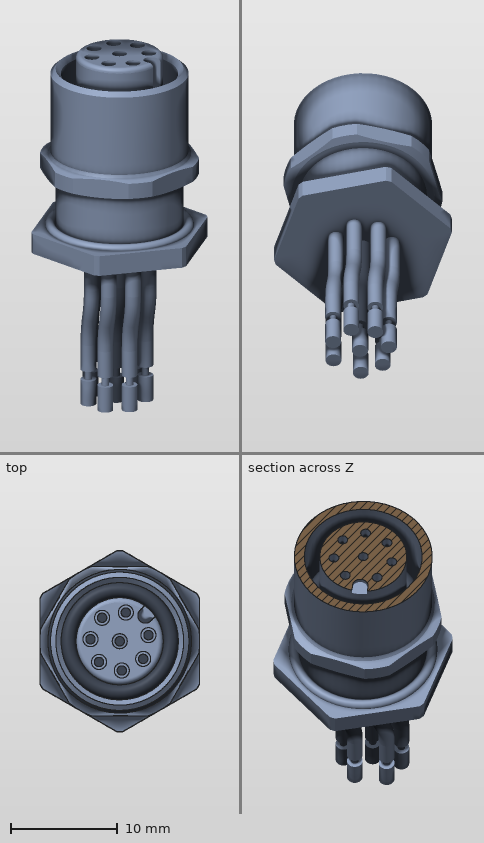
import cadquery as cq
import math

total_height = 35.3
flange_bottom = 16.13
flange_top = 18.1
nut_bottom = 23.3
nut_top = 25.3
collar_top = 25.6
sleeve_top = 33.78

flange_width = 15.0
flange_corner_diameter = 17.0
body_diameter = 12.0
flange_seal_radius = 0.5

nut_width = 14.0
nut_corner_diameter = flange_width
nut_face_diameter = 13.5
nut_chamfer_height = 0.25

sleeve_diameter = 13.0
bore_diameter = 11.0
sleeve_rim_diameter = 12.0
rim_chamfer_height = 0.42
bore_chamfer_height = 0.5
bore_floor = nut_top

insert_diameter = 8.2
insert_rounding = 0.45
key_width = 1.4
key_center_radius = 3.4
key_slot_depth = 3.0
key_angle = 45.0

contact_ring_radius = 2.75
ring_contact_count = 7
contact_pitch_angle = 49.0
contact_recess_diameter = 1.4
contact_recess_depth = 0.9
contact_bore_diameter = 0.9
contact_bore_depth = 4.25

wire_diameter = 1.5
core_diameter = 0.7
end_piece_top = 2.5
sheath_end = 3.45
bend_bottom = 6.07
bend_top = 12.0
bend_offset = 1.2


def cylinder(diameter, bottom, top):
    return cq.Workplane("XY").workplane(offset=bottom).circle(diameter / 2).extrude(top - bottom)


def revolved(profile):
    """Turn a closed (radius, height) profile about the Z axis."""
    return cq.Workplane("XZ").polyline(profile).close().revolve(360, (0, 0, 0), (0, 1, 0))


def hexagon(width, bottom, top, turn):
    """Hexagonal prism; with no turn two of its flats face +X and -X."""
    corner_to_corner = width / math.cos(math.radians(30))
    prism = cq.Workplane("XY").workplane(offset=bottom).polygon(6, corner_to_corner).extrude(top - bottom)
    return prism.rotate((0, 0, 0), (0, 0, 1), 30 + turn)


def seal_ring(center_radius, section_radius, height):
    return (
        cq.Workplane("XZ")
        .center(center_radius, height)
        .circle(section_radius)
        .revolve(360, (-center_radius, 0, 0), (-center_radius, 1, 0))
    )


def contact_points():
    first_angle = key_angle - (360 - (ring_contact_count - 1) * contact_pitch_angle) / 2
    points = [(0, 0)]
    for index in range(ring_contact_count):
        angle = math.radians(first_angle - index * contact_pitch_angle)
        points.append((contact_ring_radius * math.cos(angle), contact_ring_radius * math.sin(angle)))
    return points


def flange_and_body():
    flange = hexagon(flange_width, flange_bottom, flange_top, 0)
    flange = flange.intersect(cylinder(flange_corner_diameter, flange_bottom, flange_top))
    ring = seal_ring(body_diameter / 2 + flange_seal_radius, flange_seal_radius, flange_top)
    body = cylinder(body_diameter, flange_top, nut_bottom)
    return flange.union(body).union(ring)


def nut():
    corner_radius = nut_corner_diameter / 2
    face_radius = nut_face_diameter / 2
    chamfered_disc = revolved([
        (0, nut_bottom),
        (face_radius, nut_bottom),
        (corner_radius, nut_bottom + nut_chamfer_height),
        (corner_radius, nut_top - nut_chamfer_height),
        (face_radius, nut_top),
        (0, nut_top),
    ])
    return hexagon(nut_width, nut_bottom, nut_top, 30).intersect(chamfered_disc)


def sleeve():
    outer_radius = sleeve_diameter / 2
    rim_radius = sleeve_rim_diameter / 2
    bore_radius = bore_diameter / 2
    chamfer_bottom = sleeve_top - rim_chamfer_height
    shell = revolved([
        (bore_radius, bore_floor),
        (nut_face_diameter / 2, nut_top),
        (outer_radius, collar_top),
        (outer_radius, chamfer_bottom),
        (rim_radius, sleeve_top),
        (bore_radius, sleeve_top - bore_chamfer_height),
    ])
    ring_section_radius = (bore_diameter - insert_diameter) / 4
    ring_center_radius = (bore_diameter + insert_diameter) / 4
    return shell.union(seal_ring(ring_center_radius, ring_section_radius, bore_floor))


def insert():
    post = cylinder(insert_diameter, bore_floor, total_height).faces(">Z").edges().fillet(insert_rounding)
    slot_start = cq.Workplane("XY").workplane(offset=total_height - key_slot_depth)
    slot_length = insert_diameter / 2 - key_center_radius
    round_end = slot_start.center(key_center_radius, 0).circle(key_width / 2).extrude(key_slot_depth)
    open_end = (
        slot_start.center(key_center_radius + slot_length / 2, 0)
        .rect(slot_length, key_width)
        .extrude(key_slot_depth)
    )
    slot = round_end.union(open_end).rotate((0, 0, 0), (0, 0, 1), key_angle)
    return post.cut(slot)


def contact_hole(diameter, depth):
    return (
        cq.Workplane("XY")
        .workplane(offset=total_height - depth)
        .pushPoints(contact_points())
        .circle(diameter / 2)
        .extrude(depth)
    )


def wire():
    """One wire whose upper end lies on the Z axis."""
    half_rise = (bend_top - bend_bottom) / 2
    half_offset = bend_offset / 2
    bend_radius = (half_rise**2 + half_offset**2) / (2 * half_offset)
    half_bend = math.atan2(half_offset, half_rise)
    sag = bend_radius * (1 - math.cos(half_bend))
    rise = bend_radius * math.sin(half_bend)
    path = (
        cq.Workplane("XZ")
        .moveTo(0, flange_bottom)
        .lineTo(0, bend_top)
        .threePointArc((-sag, bend_top - rise), (-half_offset, bend_top - half_rise))
        .threePointArc((sag - bend_offset, bend_bottom + rise), (-bend_offset, bend_bottom))
        .lineTo(-bend_offset, sheath_end)
    )
    sheath = cq.Workplane("XY").workplane(offset=flange_bottom).circle(wire_diameter / 2).sweep(path)
    core = cylinder(core_diameter, end_piece_top, sheath_end)
    end_piece = cylinder(wire_diameter, 0, end_piece_top)
    return sheath.union(core.union(end_piece).translate((-bend_offset, 0, 0)))


result = flange_and_body().union(nut()).union(sleeve()).union(insert())
result = result.cut(contact_hole(contact_recess_diameter, contact_recess_depth))
result = result.cut(contact_hole(contact_bore_diameter, contact_bore_depth))
for x, y in contact_points():
    result = result.union(wire().translate((x, y, 0)))